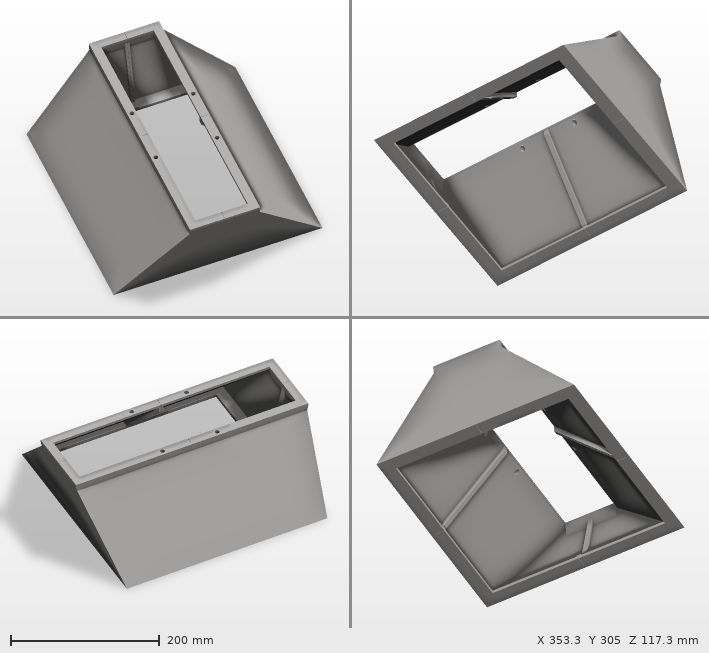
import cadquery as cq
import math

RIM_LENGTH = 353.3
RIM_WIDTH = 102.5
BASE_SIDE = 305.0
HEIGHT = 117.3

END_BAND_HEIGHT = 3.5
SIDE_BAND_HEIGHT = 11.3

RIM_END_BORDER = 12.5
RIM_SIDE_BORDER = 13.0
RIM_THICKNESS = 4.0
END_WALL = 5.0
SIDE_WALL = 4.0
FLOOR_THICKNESS = 5.0
FLOOR_BORDER = 19.5

RIB_HALF_WIDTH = 3.2
END_WALL_WITH_RIB = 10.0
SIDE_WALL_WITH_RIB = 10.5
FLOOR_WITH_RIB = 6.7

SEAM_RELIEF = 0.18
SEAM_LIP = 2.5

WEDGE_HEIGHT = 18.7

HOLE_DIAMETER = 6.5
HOLE_X = 41.7
HOLE_DEPTH = 17.5

rim_x = RIM_LENGTH / 2
rim_y = RIM_WIDTH / 2
base = BASE_SIDE / 2
opening_x = rim_x - RIM_END_BORDER
opening_y = rim_y - RIM_SIDE_BORDER
floor_edge = base - FLOOR_BORDER
rim_underside = HEIGHT - RIM_THICKNESS
end_knee = HEIGHT - END_BAND_HEIGHT
side_knee = HEIGHT - SIDE_BAND_HEIGHT
end_slope = (rim_x - base) / end_knee
side_slope = (rim_y - base) / side_knee


def end_wall_x(z, inset):
    """X of the plane that lies `inset` inside the sloping outer end face."""
    return base + end_slope * z - inset * math.hypot(1, end_slope)


def side_wall_y(z, inset):
    """Y of the plane that lies `inset` inside the sloping outer side face."""
    return base + side_slope * z - inset * math.hypot(1, side_slope)


def prism_along_y(points, length):
    """Extrude an XZ outline from the Y = 0 joint towards +Y."""
    return cq.Workplane("XZ").polyline(points).close().extrude(-length)


def prism_along_x(points, length):
    """Extrude a YZ outline from the X = 0 joint towards +X."""
    return cq.Workplane("YZ").polyline(points).close().extrude(length)


def end_profile(inset, bottom, top):
    """XZ outline between the X = 0 joint and a plane inside the end face."""
    return [
        (0, bottom),
        (end_wall_x(bottom, inset), bottom),
        (end_wall_x(top, inset), top),
        (0, top),
    ]


def side_profile(inset, bottom, top):
    """YZ outline between the Y = 0 joint and a plane inside the side face."""
    return [
        (0, bottom),
        (side_wall_y(bottom, inset), bottom),
        (side_wall_y(top, inset), top),
        (0, top),
    ]


def corner_block(x_size, y_size, bottom, top):
    """Box with one vertical edge on the centre axis."""
    return cq.Workplane("XY").box(x_size, y_size, top - bottom, centered=False).translate((0, 0, bottom))


def outer_block():
    """Solid quarter with upright bands above the sloping faces."""
    end_outline = [(0, 0), (base, 0), (rim_x, end_knee), (rim_x, HEIGHT), (0, HEIGHT)]
    side_outline = [(0, 0), (base, 0), (rim_y, side_knee), (rim_y, HEIGHT), (0, HEIGHT)]
    return prism_along_y(end_outline, base).intersect(prism_along_x(side_outline, rim_x))


def cavity():
    """Space between the floor, the sloping walls and the underside of the rim."""
    ends = prism_along_y(end_profile(END_WALL, FLOOR_THICKNESS, rim_underside), base)
    sides = prism_along_x(side_profile(SIDE_WALL, FLOOR_THICKNESS, rim_underside), rim_x)
    return ends.intersect(sides)


def end_rib():
    """Half rib that follows the end wall and the floor along the Y = 0 joint."""
    slab = prism_along_y(end_profile(END_WALL, FLOOR_THICKNESS, rim_underside), RIB_HALF_WIDTH)
    hollow = prism_along_y(end_profile(END_WALL_WITH_RIB, FLOOR_WITH_RIB, rim_underside), RIB_HALF_WIDTH)
    return slab.cut(hollow)


def side_rib():
    """Half rib that follows the side wall and the floor along the X = 0 joint."""
    slab = prism_along_x(side_profile(SIDE_WALL, FLOOR_THICKNESS, rim_underside), RIB_HALF_WIDTH)
    hollow = prism_along_x(side_profile(SIDE_WALL_WITH_RIB, FLOOR_WITH_RIB, rim_underside), RIB_HALF_WIDTH)
    return slab.cut(hollow)


def end_wedge():
    """Wedge that carries the rim overhang down onto the end wall."""
    wedge_foot = rim_underside - WEDGE_HEIGHT
    outline = [
        (opening_x, rim_underside),
        (end_wall_x(wedge_foot, END_WALL), wedge_foot),
        (end_wall_x(rim_underside, END_WALL), rim_underside),
    ]
    return prism_along_y(outline, opening_y)


def screw_hole():
    """Upright hole through the middle of the long rim border, open to the cavity."""
    top_plane = cq.Workplane("XY").workplane(offset=HEIGHT)
    hole_y = rim_y - RIM_SIDE_BORDER / 2
    return top_plane.center(HOLE_X, hole_y).circle(HOLE_DIAMETER / 2).extrude(-HOLE_DEPTH)


def seam_reliefs():
    """Thin slices taken off both joint faces, short of the outer skin."""
    end_relief = prism_along_y(end_profile(SEAM_LIP, 0, HEIGHT), SEAM_RELIEF)
    side_relief = prism_along_x(side_profile(SEAM_LIP, 0, side_knee), SEAM_RELIEF)
    rim_relief = corner_block(SEAM_RELIEF, rim_y - SEAM_LIP, side_knee, HEIGHT)
    return end_relief.union(side_relief).union(rim_relief)


def hopper_quarter():
    """The quarter of the hopper in the +X +Y corner."""
    floor_opening = corner_block(floor_edge, floor_edge, 0, FLOOR_WITH_RIB)
    rim_opening = corner_block(opening_x, opening_y, rim_underside, HEIGHT)
    side_rib_trim = corner_block(RIB_HALF_WIDTH, opening_y, 0, HEIGHT)
    quarter = outer_block().cut(cavity())
    quarter = quarter.union(end_rib()).union(side_rib().cut(side_rib_trim)).union(end_wedge())
    return quarter.cut(floor_opening).cut(rim_opening).cut(screw_hole()).cut(seam_reliefs())


corner_quarter = hopper_quarter().solids()
end_pair = [corner_quarter, corner_quarter.mirror("YZ")]
quarters = end_pair + [piece.mirror("XZ") for piece in end_pair]

result = cq.Compound.makeCompound([piece.val() for piece in quarters])